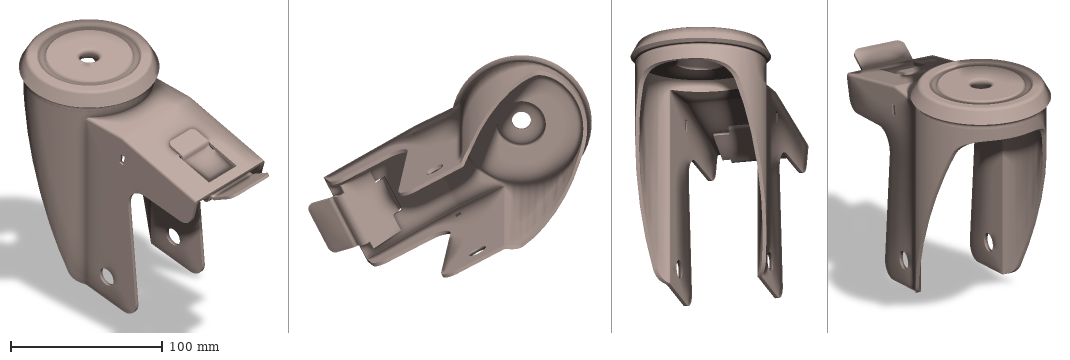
import cadquery as cq
import math


cap_diameter = 93.0
cap_radius = cap_diameter / 2
cap_rim_z = -9.5
cap_bottom_z = -11.5
cap_bottom_radius = 44.0
cap_top_radius = 41.3
cap_top_round = 3.1
cap_plate_thickness = 5.9
bolt_hole_radius = 6.3
bolt_hole_round = 3.3
groove_depth = 1.4
groove_outer_radius = 34.6
groove_inner_radius = 28.3
groove_wall_run = 1.4

ring_outer_radius = 37.4
ring_bore_radius = 16.1

sheet = 2.5
tower_radius = 43.5
tower_round = 3.0
leg_half_width = 32.8
leg_corner_radius = 4.1
leg_corner_inner_radius = 1.8
bend_round = 2.0
bend_inner_round = 1.0
arm_top_z = -19.5
arm_kink_x = 61.5
arm_kink_radius = 11.2
arm_slope = math.radians(14.5)
arm_end_x = 130.2
mouth = (-30.3, -22.5)
mouth_radius = 19.7
toe = (21.6, -154.6)
toe_radius = 14.0
heel = (75.7, -161.9)
heel_radius = 10.0
armpit = (66.3, -54.5)
armpit_radius = 14.0
arm_tail = (124.0, -61.4)
arm_tail_radius = 10.0
axle_x = 47.8
axle_z = -140.0
axle_hole_radius = 6.3
slot_x = 62.0
slot_z = -37.2
slot_width = 4.0
slot_height = 7.5
slot_tilt = 7.0
window_start_x = 95.2
window_end_x = 123.1
window_width = 26.4

pedal_sheet = 2.0
pedal_bend_radius = 1.0
valley_bend_radius = 2.0
tab_start_x = 83.5
tab_width = 24.4
tab_corner_radius = 4.0
jog_top_x = 97.0
jog_bottom_x = 97.8
shoulder_x = 102.3
shoulder_corner_radius = 1.2
plate_slope = math.radians(30)
plate_length = 23.2
plate_width = 48.4
rise_slope = math.radians(56.5)
crest_x = 129.8
crest_z = -40.7
lip_bend_x = 132.4
lip_bend_z = -41.3
lip_slope = math.radians(30)
lip_end_x = 149.7
lip_width = 37.4
lip_corner_radius = 5.0

ample = 196.7


def arm_surface_z(x):
    """Height of the upper face of the sloping part of the arm."""
    return arm_top_z - (x - arm_kink_x) * math.tan(arm_slope)


shoulder_z = arm_surface_z(shoulder_x) - sheet / math.cos(arm_slope)


def falling_plane(x, z, slope):
    """Work plane through (x, 0, z) that falls towards +X at the given slope."""
    return cq.Plane(
        origin=(x, 0, z),
        xDir=(math.cos(slope), 0, -math.sin(slope)),
        normal=(math.sin(slope), 0, math.cos(slope)),
    )


def make_cap():
    profile = (
        cq.Workplane("XZ")
        .moveTo(bolt_hole_radius, 0)
        .lineTo(groove_inner_radius, 0)
        .lineTo(groove_inner_radius + groove_wall_run, -groove_depth)
        .lineTo(groove_outer_radius - groove_wall_run, -groove_depth)
        .lineTo(groove_outer_radius, 0)
        .lineTo(cap_top_radius, 0)
        .lineTo(cap_radius, cap_rim_z)
        .lineTo(cap_bottom_radius, cap_bottom_z)
        .lineTo(ring_outer_radius, cap_bottom_z)
        .lineTo(ring_outer_radius, -cap_plate_thickness)
        .lineTo(bolt_hole_radius, -cap_plate_thickness)
        .close()
    )
    cap = profile.revolve(360, (0, 0, 0), (0, 1, 0))
    cap = cap.edges(cq.selectors.RadiusNthSelector(0)).edges(">Z").fillet(bolt_hole_round)
    return cap.faces(">Z").edges(cq.selectors.RadiusNthSelector(-1)).fillet(cap_top_round)


def make_bearing_ring():
    return (
        cq.Workplane("XY", origin=(0, 0, cap_bottom_z))
        .circle(ring_outer_radius)
        .circle(ring_bore_radius)
        .extrude(-cap_plate_thickness - cap_bottom_z)
    )


def side_prism(points, half_width):
    """Prism along Y, centred on Y = 0, with an outline given in X and Z."""
    return cq.Workplane("XZ").polyline(points).close().extrude(half_width, both=True)


def round_edge_at(body, point, radius):
    """Round the Y-direction edge that passes nearest to a point (x, z)."""
    nearest = cq.selectors.NearestToPointSelector((point[0], 0, point[1]))
    return body.edges("|Y").edges(nearest).fillet(radius)


def fork_envelope(inset, corner_radius, arm_round):
    """Tower, legs and arm as a solid block, shrunk on all sides by the inset."""
    radius = tower_radius - inset
    half_width = leg_half_width - inset
    floor_z = -ample
    flat_z = arm_top_z - inset
    leg_top_z = flat_z - arm_round

    tower_height = cap_bottom_z - inset - floor_z
    tower = cq.Workplane("XY", origin=(0, 0, floor_z)).circle(radius).extrude(tower_height)

    leg_block = side_prism(
        [(0, floor_z), (tower_radius, floor_z), (tower_radius, leg_top_z), (0, leg_top_z)],
        half_width,
    )
    legs = (
        cq.Workplane("XY", origin=(0, 0, floor_z))
        .circle(radius)
        .extrude(leg_top_z - floor_z)
        .union(leg_block)
    )
    corner_x = math.sqrt(radius**2 - half_width**2)
    corner_mid_z = (floor_z + leg_top_z) / 2
    for side in (-1, 1):
        corner = cq.selectors.NearestToPointSelector((corner_x, side * half_width, corner_mid_z))
        legs = legs.edges("|Z").edges(corner).fillet(corner_radius)

    kink = (arm_kink_x - inset * math.tan(arm_slope / 2), flat_z)
    arm_drop = (ample - kink[0]) * math.tan(arm_slope)
    arm = side_prism(
        [(0, flat_z), kink, (ample, flat_z - arm_drop), (ample, floor_z), (0, floor_z)],
        half_width,
    )
    arm = round_edge_at(arm, kink, arm_kink_radius - inset)
    crown = arm.faces(cq.selectors.NearestToPointSelector((arm_kink_x / 2, 0, flat_z)))
    arm = crown.edges("|X").fillet(arm_round)
    return tower.union(arm).union(legs)


def fork_side_outline():
    """Prism that trims the fork: open mouth, raked front edge, legs and arm end."""
    arm_tip = (arm_end_x, arm_surface_z(arm_end_x))
    above_tip = (arm_end_x - arm_tip[1] * math.tan(arm_slope), 0)
    outline = side_prism(
        [(-ample, mouth[1]), mouth, toe, heel, armpit, arm_tail, arm_tip, above_tip, (-ample, 0)],
        ample,
    )
    corner_radii = [
        (mouth, mouth_radius),
        (toe, toe_radius),
        (heel, heel_radius),
        (armpit, armpit_radius),
        (arm_tail, arm_tail_radius),
    ]
    for corner, radius in corner_radii:
        outline = round_edge_at(outline, corner, radius)
    return outline


def make_fork():
    outside = fork_envelope(0, leg_corner_radius, bend_round)
    outside = outside.faces(">Z").edges().fillet(tower_round)
    inside = fork_envelope(sheet, leg_corner_inner_radius, bend_inner_round)
    fork = outside.cut(inside).intersect(fork_side_outline())

    bore = cq.Workplane("XY", origin=(0, 0, cap_bottom_z)).circle(ring_bore_radius).extrude(-2 * sheet)
    axle_hole = cq.Workplane("XZ").center(axle_x, axle_z).circle(axle_hole_radius).extrude(ample, both=True)
    slot = (
        cq.Workplane("XZ")
        .center(slot_x, slot_z)
        .transformed(rotate=(0, 0, -slot_tilt))
        .rect(slot_width, slot_height)
        .extrude(ample, both=True)
    )

    window_length = (window_end_x - window_start_x) / math.cos(arm_slope)
    window_x = (window_start_x + window_end_x) / 2
    arm_plane = falling_plane(window_x, arm_surface_z(window_x), arm_slope)
    window = cq.Workplane(arm_plane).rect(window_length, window_width).extrude(2 * sheet, both=True)
    return fork.cut(bore).cut(axle_hole).cut(slot).cut(window)


def pedal_centre_line():
    """Middle of the pedal sheet in X and Z, from the tab to the end of the lip."""
    tab_rise = pedal_sheet / 2 / math.cos(arm_slope)
    plate_z = shoulder_z - pedal_sheet / 2 / math.cos(plate_slope)

    def on_plate(x):
        return (x, plate_z - (x - shoulder_x) * math.tan(plate_slope))

    valley_run = (on_plate(crest_x)[1] - crest_z) / (math.tan(plate_slope) + math.tan(rise_slope))
    return [
        (tab_start_x, arm_surface_z(tab_start_x) + tab_rise),
        (jog_top_x, arm_surface_z(jog_top_x) + tab_rise),
        on_plate(jog_bottom_x),
        on_plate(crest_x + valley_run),
        (crest_x, crest_z),
        (lip_bend_x, lip_bend_z),
        (lip_end_x, lip_bend_z + (lip_end_x - lip_bend_x) * math.tan(lip_slope)),
    ]


def offset_line(points, distance):
    """Open polyline moved sideways by a distance, with mitred corners."""
    angles = [math.atan2(b[1] - a[1], b[0] - a[0]) for a, b in zip(points, points[1:])]
    before = [angles[0]] + angles
    after = angles + [angles[-1]]
    moved = []
    for (x, z), first, second in zip(points, before, after):
        reach = distance / math.cos((second - first) / 2)
        middle = (first + second) / 2
        moved.append((x - reach * math.sin(middle), z + reach * math.cos(middle)))
    return moved


def make_pedal():
    centre = pedal_centre_line()
    upper = offset_line(centre, pedal_sheet / 2)
    lower = offset_line(centre, -pedal_sheet / 2)
    pedal = side_prism(upper + lower[::-1], plate_width / 2)

    bends = [
        (1, lower, upper, pedal_bend_radius),
        (2, upper, lower, pedal_bend_radius),
        (3, upper, lower, valley_bend_radius),
        (4, lower, upper, pedal_bend_radius),
        (5, upper, lower, pedal_bend_radius),
    ]
    for index, inner, outer, radius in bends:
        pedal = round_edge_at(pedal, inner[index], radius)
        pedal = round_edge_at(pedal, outer[index], radius + pedal_sheet)

    plate_plane = falling_plane(shoulder_x, shoulder_z, plate_slope)
    for side in (-1, 1):
        tab_notch = (
            cq.Workplane(plate_plane)
            .moveTo(-ample, side * tab_width / 2)
            .lineTo(0, side * tab_width / 2)
            .lineTo(0, side * ample)
            .lineTo(-ample, side * ample)
            .close()
            .extrude(ample, both=True)
            .edges(cq.selectors.NearestToPointSelector((shoulder_x, side * tab_width / 2, shoulder_z)))
            .fillet(shoulder_corner_radius)
        )
        lip_notch = (
            cq.Workplane(plate_plane)
            .moveTo(plate_length, side * lip_width / 2)
            .lineTo(ample, side * lip_width / 2)
            .lineTo(ample, side * ample)
            .lineTo(plate_length, side * ample)
            .close()
            .extrude(ample, both=True)
        )
        pedal = pedal.cut(tab_notch).cut(lip_notch)

    free_ends = [
        (centre[0], tab_width, tab_corner_radius),
        (centre[-1], lip_width, lip_corner_radius),
    ]
    for (end_x, end_z), width, radius in free_ends:
        for side in (-1, 1):
            corner = (end_x, side * width / 2, end_z)
            pedal = pedal.edges(cq.selectors.NearestToPointSelector(corner)).fillet(radius)
    return pedal


cap = make_cap()
bearing_ring = make_bearing_ring()
fork = make_fork()
pedal = make_pedal()

result = cq.Compound.makeCompound([cap.val(), bearing_ring.val(), fork.val(), pedal.val()])